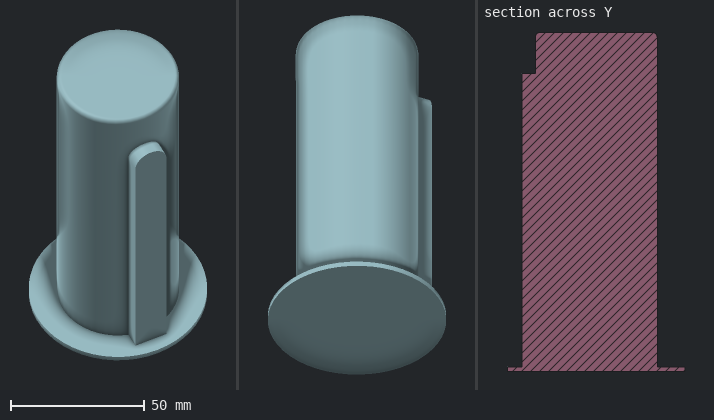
import cadquery as cq

total_height = 127.5
flange_diameter = 67.0
flange_thickness = 2.0
body_diameter = 46.0
top_fillet = 2.0
rib_width = 13.0
rib_reach = 28.0
rib_top = 112.0

rib_radius = rib_width / 2
rib_arc_center = rib_top - rib_radius


def make_flange():
    """Thin round base plate."""
    return cq.Workplane("XY").circle(flange_diameter / 2).extrude(flange_thickness)


def make_body():
    """Upright cylinder with a rounded top edge."""
    body = cq.Workplane("XY").circle(body_diameter / 2).extrude(total_height)
    return body.faces(">Z").edges().fillet(top_fillet)


def make_rib():
    """Upright rib on the +X side, with a half-round top, starting at the axis inside the body."""
    return (
        cq.Workplane("YZ")
        .moveTo(-rib_radius, 0)
        .lineTo(rib_radius, 0)
        .lineTo(rib_radius, rib_arc_center)
        .threePointArc((0, rib_top), (-rib_radius, rib_arc_center))
        .close()
        .extrude(rib_reach)
    )


result = make_flange().union(make_body()).union(make_rib())